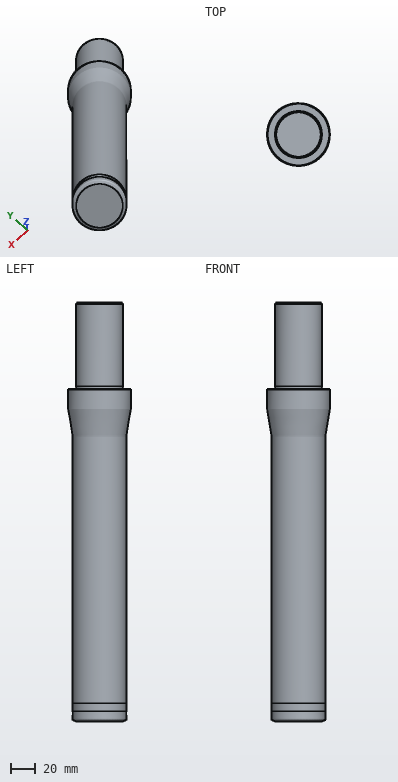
import cadquery as cq
import math

total_height = 337.06

spigot_radius = 19.0
spigot_chamfer_height = 1.4
spigot_chamfer_width = 1.2
neck_depth = 0.1
neck_height = 2.0
neck_root_fillet = 0.9
collar_radius = 25.4
collar_top = 267.5
collar_bottom = 251.5
collar_edge_chamfer = 0.7
shank_radius = 21.75
cone_bottom = 229.6
cone_foot_fillet = 8.0
post_bottom = 8.5

foot_height = 14.6
foot_seat_gap = 0.03
foot_taper_angle = 1.79
foot_bevel_height = 1.5
foot_bevel_width = 3.2
foot_bevel_fillet = 1.3

search_margin = 0.02

neck_radius = spigot_radius - neck_depth
foot_seat_radius = shank_radius - foot_seat_gap
taper_slope = math.tan(math.radians(foot_taper_angle))


def foot_radius(z):
    """Radius of the tapered side of the foot at height z."""
    return foot_seat_radius + (post_bottom - z) * taper_slope


def turn(profile):
    """Close a half profile and revolve it about the Z axis."""
    return profile.close().revolve(360, (0, 0, 0), (0, 1, 0))


def round_circle(body, radius, height, fillet_radius):
    """Fillet the circular edge of the given radius that lies at the given height."""
    lower_corner = (-radius - search_margin, -radius - search_margin, height - search_margin)
    upper_corner = (radius + search_margin, radius + search_margin, height + search_margin)
    circle = cq.selectors.BoxSelector(lower_corner, upper_corner, boundingbox=True)
    return body.edges(circle).fillet(fillet_radius)


def make_foot():
    """Plug that narrows upward, with a bevelled and softened lower edge."""
    bevel_radius = foot_radius(foot_bevel_height)
    profile = (
        cq.Workplane("XZ")
        .lineTo(bevel_radius - foot_bevel_width, 0)
        .lineTo(bevel_radius, foot_bevel_height)
        .lineTo(foot_radius(foot_height), foot_height)
        .lineTo(0, foot_height)
    )
    return round_circle(turn(profile), bevel_radius, foot_bevel_height, foot_bevel_fillet)


def make_post():
    """Turned post with a tapered socket that matches the foot."""
    profile = (
        cq.Workplane("XZ")
        .moveTo(0, foot_height)
        .lineTo(foot_radius(foot_height), foot_height)
        .lineTo(foot_seat_radius, post_bottom)
        .lineTo(shank_radius, post_bottom)
        .lineTo(shank_radius, cone_bottom)
        .lineTo(collar_radius, collar_bottom)
        .lineTo(collar_radius, collar_top - collar_edge_chamfer)
        .lineTo(collar_radius - collar_edge_chamfer, collar_top)
        .lineTo(neck_radius, collar_top)
        .lineTo(neck_radius, collar_top + neck_height)
        .lineTo(spigot_radius, collar_top + neck_height)
        .lineTo(spigot_radius, total_height - spigot_chamfer_height)
        .lineTo(spigot_radius - spigot_chamfer_width, total_height)
        .lineTo(0, total_height)
    )
    post = turn(profile)
    post = round_circle(post, neck_radius, collar_top, neck_root_fillet)
    return round_circle(post, shank_radius, cone_bottom, cone_foot_fillet)


foot = make_foot()
post = make_post()

result = cq.Compound.makeCompound([post.val(), foot.val()])